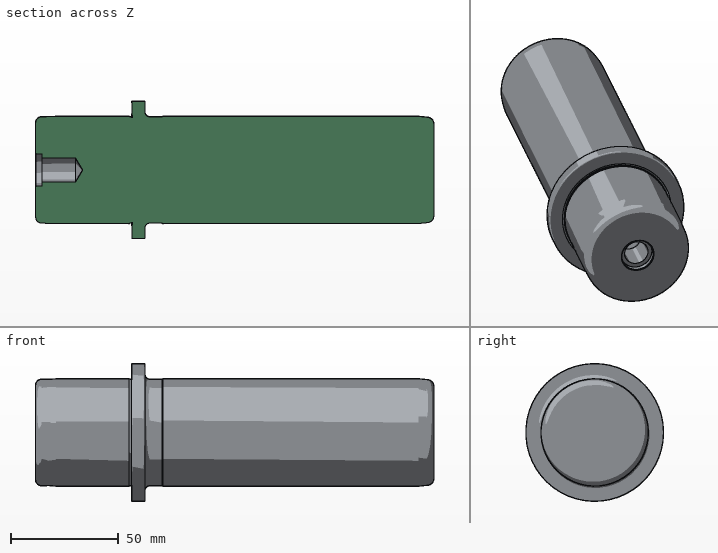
import cadquery as cq
import math

length = 185
body_radius = 25.0
flange_radius = 32.0

flange_start = 44.5
flange_end = 50.9
flange_edge = 0.5

undercut_width = 1.1
undercut_depth = 0.4
face_groove_radius = 25.9
face_groove_depth = 0.4

root_fillet = 2.2
relief_radius = 24.8
relief_end = 58.6
relief_ramp = 0.5

left_round = 3.0
left_lead_end = 9.6
right_round = 3.3
right_lead_start = 178.0
left_lead_drop = 0.2
right_lead_drop = 0.4

counterbore_radius = 7.4
counterbore_depth = 3.0
mouth_chamfer = 0.4
bore_radius = 5.5
bore_depth = 18.5
drill_point_angle = 118


def arc_middle(center_x, center_r, radius, direction_x):
    """Midpoint of a convex quarter arc facing outward and toward direction_x."""
    offset = radius * math.sqrt(0.5)
    return center_x + direction_x * offset, center_r + offset


def make_body():
    """Revolved outer shape; profile coordinates are (X, radius)."""
    left_end_radius = body_radius - left_lead_drop
    right_end_radius = body_radius - right_lead_drop
    left_face_radius = left_end_radius - left_round
    right_face_radius = right_end_radius - right_round
    right_round_start = length - right_round
    root_end = flange_end + root_fillet
    root_top = relief_radius + root_fillet
    root_sag = root_fillet * (1 - math.sqrt(0.5))
    profile = (
        cq.Workplane("XY")
        .moveTo(0, 0)
        .lineTo(0, left_face_radius)
        .threePointArc(
            arc_middle(left_round, left_face_radius, left_round, -1),
            (left_round, left_end_radius),
        )
        .lineTo(left_lead_end, body_radius)
        .lineTo(flange_start - undercut_width, body_radius)
        .lineTo(flange_start, body_radius - undercut_depth)
        .lineTo(flange_start + face_groove_depth, body_radius - undercut_depth)
        .lineTo(flange_start + face_groove_depth, body_radius)
        .lineTo(flange_start, face_groove_radius)
        .lineTo(flange_start, flange_radius - flange_edge)
        .threePointArc(
            arc_middle(flange_start + flange_edge, flange_radius - flange_edge, flange_edge, -1),
            (flange_start + flange_edge, flange_radius),
        )
        .lineTo(flange_end - flange_edge, flange_radius)
        .threePointArc(
            arc_middle(flange_end - flange_edge, flange_radius - flange_edge, flange_edge, 1),
            (flange_end, flange_radius - flange_edge),
        )
        .lineTo(flange_end, root_top)
        .threePointArc(
            (flange_end + root_sag, relief_radius + root_sag),
            (root_end, relief_radius),
        )
        .lineTo(relief_end, relief_radius)
        .lineTo(relief_end + relief_ramp, body_radius)
        .lineTo(right_lead_start, body_radius)
        .lineTo(right_round_start, right_end_radius)
        .threePointArc(
            arc_middle(right_round_start, right_face_radius, right_round, 1),
            (length, right_face_radius),
        )
        .lineTo(length, 0)
        .close()
    )
    return profile.revolve(360, (0, 0, 0), (1, 0, 0))


def make_centre_hole():
    """Counterbored blind hole with a conical drill point."""
    point_length = bore_radius / math.tan(math.radians(drill_point_angle / 2))
    profile = (
        cq.Workplane("XY")
        .moveTo(0, 0)
        .lineTo(0, counterbore_radius + mouth_chamfer)
        .lineTo(mouth_chamfer, counterbore_radius)
        .lineTo(counterbore_depth, counterbore_radius)
        .lineTo(counterbore_depth, bore_radius)
        .lineTo(bore_depth, bore_radius)
        .lineTo(bore_depth + point_length, 0)
        .close()
    )
    return profile.revolve(360, (0, 0, 0), (1, 0, 0))


result = make_body().cut(make_centre_hole())